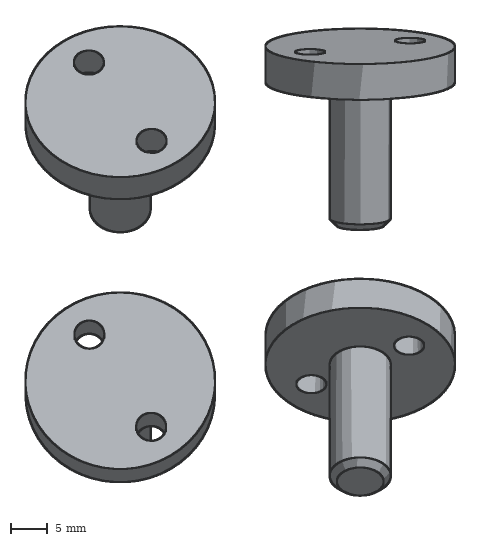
import cadquery as cq

head_diameter = 26.0
total_height = 25.0
head_thickness = 5.0

shank_diameter = 8.4
shank_length = total_height - head_thickness
tip_chamfer = 1.0

hole_diameter = 4.1
hole_spacing = 16.0


def make_head():
    """Round head with its underside on the XY plane and two through holes."""
    disc = cq.Workplane("XY").circle(head_diameter / 2).extrude(head_thickness)
    hole_centers = [(-hole_spacing / 2, 0), (hole_spacing / 2, 0)]
    return disc.faces(">Z").workplane().pushPoints(hole_centers).hole(hole_diameter)


def make_shank():
    """Plain shank hanging from the head, chamfered at its free end."""
    shank = cq.Workplane("XY").circle(shank_diameter / 2).extrude(-shank_length)
    return shank.faces("<Z").chamfer(tip_chamfer)


result = make_head().union(make_shank())